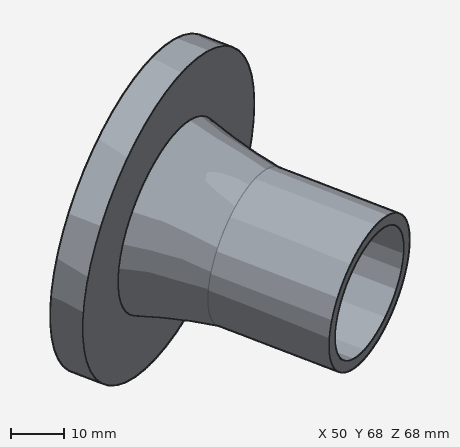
import cadquery as cq

total_length = 50.0
flange_diameter = 68.0
flange_thickness = 7.0
neck_base_diameter = 40.0
neck_length = 17.0
neck_sag = 0.35
tube_diameter = 32.0
bore_diameter = 27.2

flange_radius = flange_diameter / 2
neck_base_radius = neck_base_diameter / 2
tube_radius = tube_diameter / 2
bore_radius = bore_diameter / 2
neck_end = flange_thickness + neck_length

profile = (
    cq.Workplane("XY")
    .moveTo(0, bore_radius)
    .lineTo(0, flange_radius)
    .lineTo(flange_thickness, flange_radius)
    .lineTo(flange_thickness, neck_base_radius)
    .sagittaArc((neck_end, tube_radius), -neck_sag)
    .lineTo(total_length, tube_radius)
    .lineTo(total_length, bore_radius)
    .close()
)

result = profile.revolve(360, (0, 0, 0), (1, 0, 0))